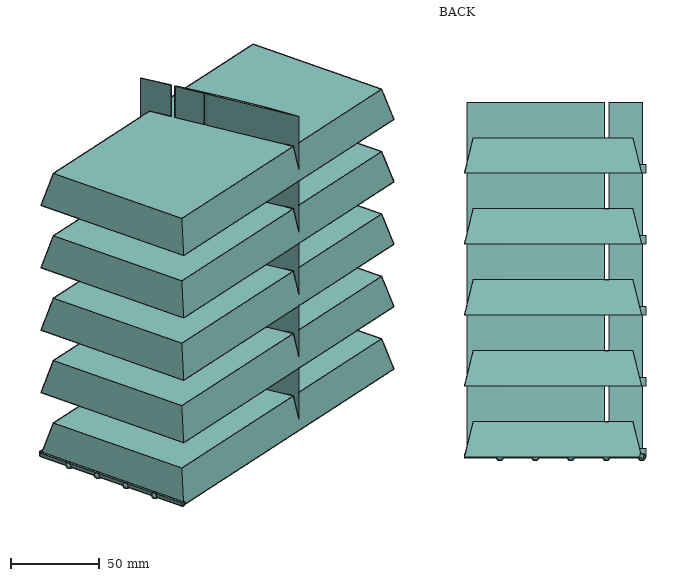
import cadquery as cq
import math

shelf_width = 100.0
shelf_depth = 2 * shelf_width
shelf_height = shelf_width / 5
shelf_taper = shelf_height / 4
shelf_pitch = 2 * shelf_height
shelf_count = 5
wall_height = shelf_count * shelf_pitch

rail_width = 2.0
rail_top = 1.8
rail_height = 2.2
bead_radius = 2.0
bead_pitch = shelf_height

tab_size = shelf_width / 20
tab_spacing = shelf_width / 10

wall_left = -50.5
facet_width = shelf_width / 100
facet_count = 99
curve_offset = -0.5
curve_amplitude = 12.7
curve_degrees_per_unit = 0.8911
curve_shift = 28.9

slot_left = -31.5
slot_width = 2.5
notch_left = -11.0
notch_width = 2.5
notch_depth = 0.6

left_x = -shelf_width / 2
front_y = -shelf_depth / 2


def shelf(level):
    """Rectangular block whose four sides lean inwards towards the top."""
    return (
        cq.Workplane("XY", origin=(0, 0, level))
        .rect(shelf_width, shelf_depth)
        .workplane(offset=shelf_height)
        .rect(shelf_width - 2 * shelf_taper, shelf_depth - 2 * shelf_taper)
        .loft(ruled=True)
    )


def tab_pair(level):
    """Two cubes standing on the bottom level of a shelf, half outside its left edge."""
    return (
        cq.Workplane("XY", origin=(0, 0, level))
        .pushPoints([(left_x, 0), (left_x, -tab_spacing)])
        .box(tab_size, tab_size, tab_size, centered=(True, True, False))
    )


def rail(x, y, length_x, length_y):
    """Bar along a bottom edge of the lowest shelf, hanging slightly below it."""
    return (
        cq.Workplane("XY", origin=(x, y, rail_top - rail_height))
        .box(length_x, length_y, rail_height, centered=(True, True, False))
    )


def beads():
    """Rows of spheres along the left and front bottom edges, leaving out the corners."""
    left_count = round(shelf_depth / bead_pitch)
    front_count = round(shelf_width / bead_pitch)
    places = [(left_x, front_y + i * bead_pitch) for i in range(1, left_count)]
    places += [(left_x + i * bead_pitch, front_y) for i in range(1, front_count)]
    return cq.Workplane("XY").pushPoints(places).sphere(bead_radius)


def curve_point(index):
    """Point of the wall curve after a number of facets from the left end."""
    x = wall_left + index * facet_width
    angle = math.radians(curve_degrees_per_unit * (x + curve_shift))
    return (x, curve_offset + curve_amplitude * math.sin(angle))


def chord_y(x):
    """Height in Y of the straight line joining the two ends of the wall curve."""
    start_x, start_y = curve_point(0)
    end_x, end_y = curve_point(facet_count)
    return start_y + (x - start_x) * (end_y - start_y) / (end_x - start_x)


def wall():
    outline = [curve_point(index) for index in range(facet_count + 1)]
    body = cq.Workplane("XY").polyline(outline).close().extrude(wall_height)

    slot = (
        cq.Workplane("XY", origin=(slot_left, 0, 0))
        .box(slot_width, shelf_depth, wall_height, centered=(False, True, False))
    )

    notch_right = notch_left + notch_width
    notch_outline = [
        (notch_left, chord_y(notch_left)),
        (notch_right, chord_y(notch_right)),
        (notch_left, chord_y(notch_left) + notch_depth),
    ]
    notch = cq.Workplane("XY").polyline(notch_outline).close().extrude(wall_height)
    return body.cut(slot).cut(notch)


result = rail(left_x, 0, rail_width, shelf_depth)
result = result.union(rail(0, front_y, shelf_width, rail_width))
result = result.union(beads()).union(wall())
for number in range(shelf_count):
    level = number * shelf_pitch
    result = result.union(shelf(level)).union(tab_pair(level))